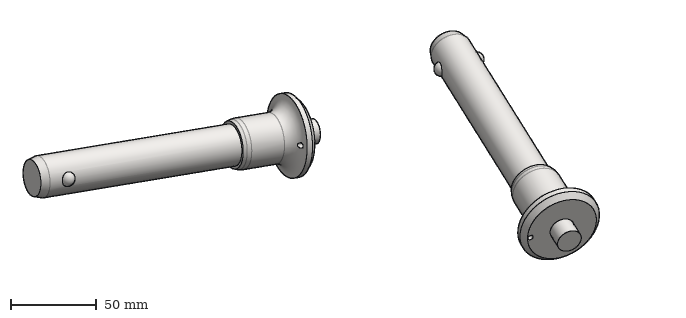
import cadquery as cq
import math

total_length = 186.8

shank_radius = 12.5
tip_radius = 11.0
collar_radius = 15.3
collar_step_radius = 15.0
collar_nose_radius = 14.2
flange_radius = 25.0
button_radius = 7.5

tip_length = 5.2
collar_nose_length = 2.2
collar_taper_length = 2.8
button_length = 11.4
flange_chamfer = 3.4
flange_rim_length = 3.5
shank_end = 132.0

ball_radius = 4.5
ball_reach = 15.5
ball_y = 17.5

hole_diameter = 3.2
hole_offset = 19.8

step_y = shank_end + collar_nose_length
collar_y = step_y + collar_taper_length
flange_top_y = total_length - button_length
rim_end_y = flange_top_y - flange_chamfer
rim_start_y = rim_end_y - flange_rim_length

blend_radius = flange_radius - collar_radius
blend_start_y = rim_start_y - blend_radius
blend_inset = blend_radius * (1 - math.sqrt(0.5))
blend_middle = (collar_radius + blend_inset, rim_start_y - blend_inset)


def make_body():
    """Revolve the half profile (radius, Y) of the pin, collar, flange and button."""
    profile = (
        cq.Workplane("XY")
        .lineTo(tip_radius, 0)
        .lineTo(shank_radius, tip_length)
        .lineTo(shank_radius, shank_end)
        .lineTo(collar_nose_radius, shank_end)
        .lineTo(collar_step_radius, step_y)
        .lineTo(collar_radius, collar_y)
        .lineTo(collar_radius, blend_start_y)
        .threePointArc(blend_middle, (flange_radius, rim_start_y))
        .lineTo(flange_radius, rim_end_y)
        .lineTo(flange_radius - flange_chamfer, flange_top_y)
        .lineTo(button_radius, flange_top_y)
        .lineTo(button_radius, total_length)
        .lineTo(0, total_length)
        .close()
    )
    return profile.revolve(360, (0, 0, 0), (0, 1, 0))


def make_ball(side):
    """Locking ball standing out of the shank on the +X (1) or -X (-1) side."""
    ball_x = side * (ball_reach - ball_radius)
    return cq.Workplane("XY").sphere(ball_radius).translate((ball_x, ball_y, 0))


def make_lanyard_hole():
    """Cylinder parallel to the pin that passes through the flange only."""
    return (
        cq.Workplane("XZ", origin=(hole_offset, flange_top_y, 0))
        .circle(hole_diameter / 2)
        .extrude(flange_top_y - blend_start_y)
    )


result = make_body()
for side in (-1, 1):
    result = result.union(make_ball(side))
result = result.cut(make_lanyard_hole())